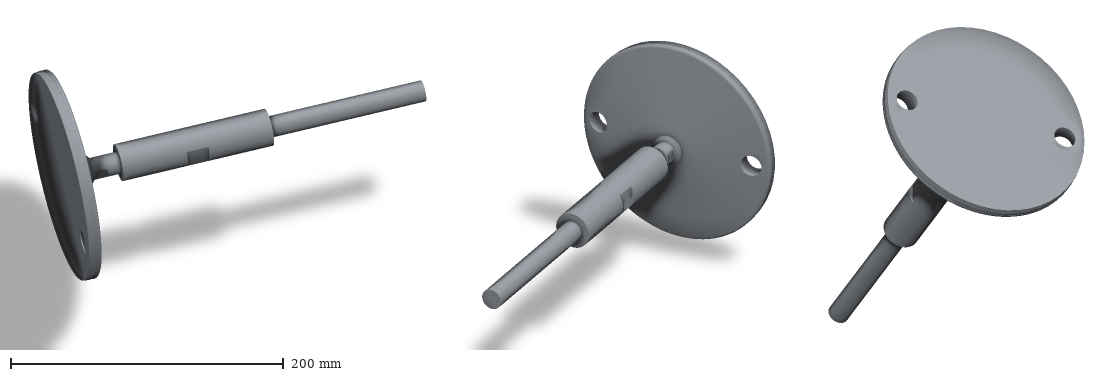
import cadquery as cq
import math

foot_diameter = 158.0
foot_radius = foot_diameter / 2
rim_height = 9.5
foot_height = 21.0
sole_inset = 0.5
foot_top_radius = 11.2
rim_fillet = 2.0

groove_bottom = 4.2
groove_top = 6.7
groove_depth = 0.3

hole_diameter = 16.5
hole_offset = 62.8
hole_tilt = math.degrees(math.atan2(foot_height - rim_height, foot_radius - foot_top_radius))
hole_drill_length = 83.7

collar_radius = 11.7
collar_middle = 22.3
collar_top = 24.5
collar_top_radius = 9.0
neck_diameter = 16.5
sleeve_start = 45.5
sleeve_end = 160.7
sleeve_diameter = 28.0
rod_diameter = 16.0
rod_end = 279.0

neck_flat_start = 26.0
neck_flat_end = 35.5
neck_flat_width = 13.5
sleeve_flat_start = 94.5
sleeve_flat_end = 111.3
sleeve_flat_width = 22.3


def revolve_about_y(points):
    """Revolve a closed (radius, Y) outline around the Y axis."""
    return cq.Workplane("XY").polyline(points).close().revolve(360, (0, 0, 0), (0, 1, 0))


def mounting_hole(side):
    """Drill body for the hole on one side (-1 or +1), leaning outward towards +Y."""
    drill = cq.Workplane("XZ").circle(hole_diameter / 2).extrude(hole_drill_length / 2, both=True)
    drill = drill.rotate((0, 0, 0), (0, 0, 1), -side * hole_tilt)
    return drill.translate((side * hole_offset, 0, 0))


def make_foot():
    foot = revolve_about_y([
        (0, 0),
        (foot_radius - sole_inset, 0),
        (foot_radius, groove_bottom),
        (foot_radius, rim_height),
        (foot_top_radius, foot_height),
        (0, foot_height),
    ])
    rim_corner = cq.selectors.NearestToPointSelector((-foot_radius, rim_height, 0))
    foot = foot.edges("%CIRCLE").edges(rim_corner).fillet(rim_fillet)
    groove_floor = foot_radius - groove_depth
    foot = foot.cut(revolve_about_y([
        (groove_floor, groove_bottom),
        (foot_radius + groove_depth, groove_bottom),
        (foot_radius + groove_depth, groove_top),
        (groove_floor, groove_top),
    ]))
    for side in (-1, 1):
        foot = foot.cut(mounting_hole(side))
    return foot


def cut_flats(body, diameter, width, start, end):
    """Cut two opposite flats, leaving the given width across them along X."""
    length = end - start
    depth = (diameter - width) / 2
    for side in (-1, 1):
        cutter = cq.Workplane("XY").box(2 * depth, length, diameter)
        body = body.cut(cutter.translate((side * diameter / 2, start + length / 2, 0)))
    return body


def make_spindle():
    neck_radius = neck_diameter / 2
    sleeve_radius = sleeve_diameter / 2
    rod_radius = rod_diameter / 2
    spindle = revolve_about_y([
        (0, foot_height),
        (foot_top_radius, foot_height),
        (collar_radius, collar_middle),
        (collar_top_radius, collar_top),
        (neck_radius, collar_top),
        (neck_radius, sleeve_start),
        (sleeve_radius, sleeve_start),
        (sleeve_radius, sleeve_end),
        (rod_radius, sleeve_end),
        (rod_radius, rod_end),
        (0, rod_end),
    ])
    spindle = cut_flats(spindle, neck_diameter, neck_flat_width, neck_flat_start, neck_flat_end)
    return cut_flats(spindle, sleeve_diameter, sleeve_flat_width, sleeve_flat_start, sleeve_flat_end)


foot = make_foot()
spindle = make_spindle()

result = cq.Compound.makeCompound([foot.val(), spindle.val()])